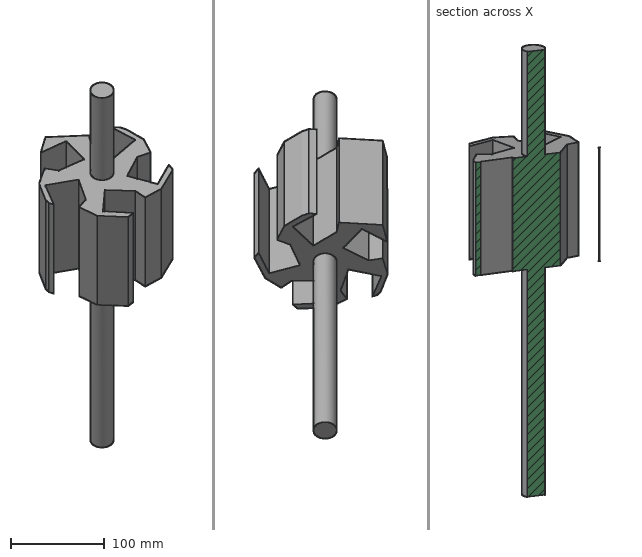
import cadquery as cq

shaft_length = 500.0
shaft_diameter = 25.0

rotor_bottom = 255.0
rotor_height = 127.5

upper_arm = [
    (24.0, 13.0), (12.5, 43.0), (18.5, 58.0), (-0.5, 69.0),
    (-25.0, 69.0), (-33.0, 67.0), (-39.0, 61.0), (-7.0, 62.5),
]
left_arm = [
    (-5.5, 26.5), (-38.0, 26.5), (-49.0, 36.0), (-82.5, 3.5),
    (-70.0, -19.0), (-61.5, 13.0),
]
lower_left_arm = [
    (-28.0, 3.5), (-37.0, -28.0), (-50.5, -35.0), (-39.5, -57.0),
    (-17.0, -72.5), (-11.0, -74.0), (-5.5, -72.5), (-32.5, -55.0),
]
lower_right_arm = [
    (-11.5, -25.0), (15.0, -44.0), (17.5, -58.0), (41.0, -56.0),
    (67.5, -36.0), (67.5, -27.5), (41.0, -46.5),
]
right_arm = [
    (20.5, -19.5), (46.0, 0.5), (61.0, -0.5), (65.0, 21.5),
    (54.5, 52.5), (46.0, 55.5), (57.0, 24.5),
]


def make_shaft():
    return cq.Workplane("XY").circle(shaft_diameter / 2).extrude(shaft_length)


def make_rotor():
    outline = upper_arm + left_arm + lower_left_arm + lower_right_arm + right_arm
    return (
        cq.Workplane("XY")
        .workplane(offset=rotor_bottom)
        .polyline(outline)
        .close()
        .extrude(rotor_height)
    )


result = make_shaft().union(make_rotor())